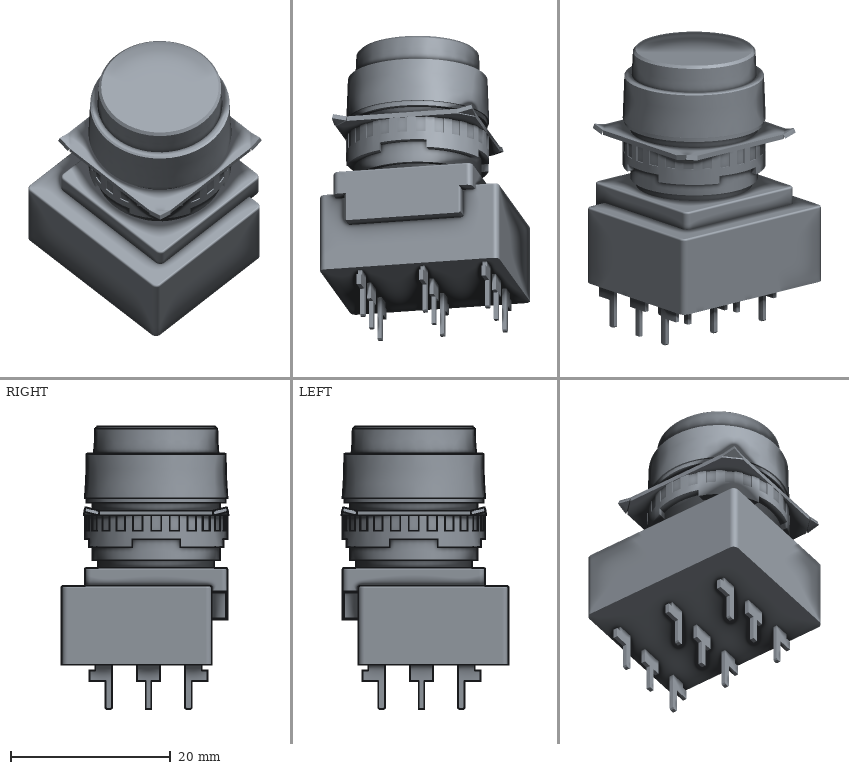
import cadquery as cq


PIN_STEM_TOP_Z = 3.5
PIN_LUG_TOP_Z = 4.85
BASE_BOTTOM_Z = 5.55
BASE_TOP_Z = 15.45
COLLAR_BOTTOM_Z = 14.75
COLLAR_TOP_Z = 17.7
LATCH_BOTTOM_Z = 11.2
NECK_TOP_Z = 18.62
NUT_BOTTOM_Z = 20.3
NUT_TOP_Z = 24.25
BEZEL_BOTTOM_Z = 25.85
BEZEL_RIM_Z = 26.4
BEZEL_TOP_Z = 32.05
BUTTON_TOP_Z = 35.4

BASE_LENGTH = 23.0
BASE_WIDTH = 18.85
BASE_CENTER_X = -0.4
BASE_CENTER_Y = -2.45
COLLAR_SIDE = 17.88
CORNER_RADIUS = 0.75
EDGE_ROUND = 0.25
LATCH_CHAMFER = 0.2
LATCH_LENGTH = 14.87
LATCH_DEPTH = 4.25

PIN_THICKNESS = 0.53
PIN_COLUMN_PITCH = 8.0
PIN_CENTER_X = -1.88
PIN_CENTER_Y = -0.95
MIDDLE_BLADE_WIDTH = 2.9
MIDDLE_STEM_WIDTH = 0.75
OUTER_STEM_START = 4.55
OUTER_STEM_WIDTH = 0.85
OUTER_BLADE_WIDTH = 2.12
OUTER_LUG_WIDTH = 2.83
PIN_TIP_CHAMFER = 0.18

FLANGE_RADIUS = 8.55
FLANGE_THICKNESS = 0.9
NECK_RADIUS = 7.3
BARREL_RADIUS = 8.0
BEZEL_RIM_RADIUS = 8.95
BEZEL_RADIUS = 8.75
BEZEL_CHAMFER_HEIGHT = 0.1
BEZEL_CHAMFER_WIDTH = 0.25
BUTTON_FOOT_RADIUS = 7.82
BUTTON_RADIUS = 7.68
BUTTON_CHAMFER = 0.32

NUT_RADIUS = 8.95
FLUTE_COUNT = 24
FLUTE_WIDTH = 1.25
FLUTE_DEPTH = 0.15
FLUTE_HEIGHT = 1.9
WRENCH_SLOT_WIDTH = 6.02
WRENCH_SLOT_HEIGHT = 1.0

WASHER_SIDE = COLLAR_SIDE
WASHER_THICKNESS = 0.6
WASHER_TOP_Z = NUT_TOP_Z + WASHER_THICKNESS
TAB_LEG = 1.85
TAB_ANGLE = 20.0
TAB_PIVOT_DEPTH = 0.07


def block(length, width, bottom_z, top_z):
    """Box centred on the Z axis between two levels."""
    return cq.Workplane("XY").workplane(offset=bottom_z).rect(length, width).extrude(top_z - bottom_z)


def disc(radius, bottom_z, top_z):
    """Round disc on the Z axis between two levels."""
    return cq.Workplane("XY").workplane(offset=bottom_z).circle(radius).extrude(top_z - bottom_z)


def rounded_block(length, width, bottom_z, top_z):
    """Block with rounded vertical corners and a rounded top edge."""
    body = block(length, width, bottom_z, top_z).edges("|Z").fillet(CORNER_RADIUS)
    return body.faces(">Z").edges().fillet(EDGE_ROUND)


def make_latch():
    """Chamfered block that hangs below the rear edge of the collar."""
    latch = block(LATCH_LENGTH, LATCH_DEPTH, LATCH_BOTTOM_Z, COLLAR_BOTTOM_Z)
    latch = latch.faces("<X or >X").edges().chamfer(LATCH_CHAMFER)
    return latch.translate((0, (COLLAR_SIDE - LATCH_DEPTH) / 2, 0))


def blade(outline, column_x):
    """Flat pin with a (Y, Z) outline, centred on a column."""
    plane = cq.Workplane("YZ").workplane(offset=column_x - PIN_THICKNESS / 2)
    return plane.polyline(outline).close().extrude(PIN_THICKNESS)


def middle_blade_outline():
    """Wide blade with a narrow stem below its middle."""
    half_blade = MIDDLE_BLADE_WIDTH / 2
    half_stem = MIDDLE_STEM_WIDTH / 2
    right_half = [
        (half_stem, 0),
        (half_stem, PIN_STEM_TOP_Z),
        (half_blade, PIN_STEM_TOP_Z),
        (half_blade, BASE_BOTTOM_Z),
    ]
    left_half = [(-y, z) for y, z in reversed(right_half)]
    return [(PIN_CENTER_Y + y, z) for y, z in right_half + left_half]


def outer_blade_outline(side):
    """Blade with a lug pointing away from the middle row; side is +1 or -1."""
    stem_end = OUTER_STEM_START + OUTER_STEM_WIDTH
    blade_end = OUTER_STEM_START + OUTER_BLADE_WIDTH
    lug_end = OUTER_STEM_START + OUTER_LUG_WIDTH
    points = [
        (OUTER_STEM_START, BASE_BOTTOM_Z),
        (OUTER_STEM_START, PIN_TIP_CHAMFER),
        (OUTER_STEM_START + PIN_TIP_CHAMFER, 0),
        (stem_end - PIN_TIP_CHAMFER, 0),
        (stem_end, PIN_TIP_CHAMFER),
        (stem_end, PIN_STEM_TOP_Z),
        (lug_end, PIN_STEM_TOP_Z),
        (lug_end, PIN_LUG_TOP_Z),
        (blade_end, PIN_LUG_TOP_Z),
        (blade_end, BASE_BOTTOM_Z),
    ]
    return [(PIN_CENTER_Y + side * y, z) for y, z in points]


def make_base():
    """Contact block, collar, latch and pins, recessed for the operator flange."""
    contact_block = rounded_block(BASE_LENGTH, BASE_WIDTH, BASE_BOTTOM_Z, BASE_TOP_Z)
    base = contact_block.translate((BASE_CENTER_X, BASE_CENTER_Y, 0))
    base = base.union(rounded_block(COLLAR_SIDE, COLLAR_SIDE, COLLAR_BOTTOM_Z, COLLAR_TOP_Z))
    base = base.union(make_latch())
    outlines = [outer_blade_outline(-1), middle_blade_outline(), outer_blade_outline(1)]
    for column in (-1, 0, 1):
        for outline in outlines:
            base = base.union(blade(outline, PIN_CENTER_X + column * PIN_COLUMN_PITCH))
    flange_recess = disc(FLANGE_RADIUS, COLLAR_TOP_Z - FLANGE_THICKNESS, COLLAR_TOP_Z)
    return base.cut(flange_recess)


def make_operator():
    """Button, bezel, barrel and flange as one turned body."""
    flange_bottom_z = COLLAR_TOP_Z - FLANGE_THICKNESS
    profile = [
        (0, flange_bottom_z),
        (FLANGE_RADIUS, flange_bottom_z),
        (FLANGE_RADIUS, COLLAR_TOP_Z),
        (NECK_RADIUS, COLLAR_TOP_Z),
        (NECK_RADIUS, NECK_TOP_Z),
        (BARREL_RADIUS, NECK_TOP_Z),
        (BARREL_RADIUS, BEZEL_BOTTOM_Z),
        (BEZEL_RADIUS, BEZEL_BOTTOM_Z),
        (BEZEL_RADIUS, BEZEL_RIM_Z),
        (BEZEL_RIM_RADIUS, BEZEL_RIM_Z),
        (BEZEL_RADIUS, BEZEL_TOP_Z - BEZEL_CHAMFER_HEIGHT),
        (BEZEL_RADIUS - BEZEL_CHAMFER_WIDTH, BEZEL_TOP_Z),
        (BUTTON_FOOT_RADIUS, BEZEL_TOP_Z),
        (BUTTON_RADIUS, BUTTON_TOP_Z - BUTTON_CHAMFER),
        (BUTTON_RADIUS - BUTTON_CHAMFER, BUTTON_TOP_Z),
        (0, BUTTON_TOP_Z),
    ]
    return cq.Workplane("XZ").polyline(profile).close().revolve(360, (0, 0, 0), (0, 1, 0))


def make_nut():
    """Ring nut with grip flutes round the top and four wrench slots in the bottom."""
    nut = disc(NUT_RADIUS, NUT_BOTTOM_Z, NUT_TOP_Z)
    flute = block(2 * FLUTE_DEPTH, FLUTE_WIDTH, NUT_TOP_Z - FLUTE_HEIGHT, NUT_TOP_Z)
    flute = flute.translate((NUT_RADIUS, 0, 0))
    for index in range(FLUTE_COUNT):
        nut = nut.cut(flute.rotate((0, 0, 0), (0, 0, 1), index * 360 / FLUTE_COUNT))
    slot_top_z = NUT_BOTTOM_Z + WRENCH_SLOT_HEIGHT
    slot_length = 2 * NUT_RADIUS
    nut = nut.cut(block(slot_length, WRENCH_SLOT_WIDTH, NUT_BOTTOM_Z, slot_top_z))
    nut = nut.cut(block(WRENCH_SLOT_WIDTH, slot_length, NUT_BOTTOM_Z, slot_top_z))
    return nut.cut(disc(BARREL_RADIUS, NUT_BOTTOM_Z, NUT_TOP_Z))


def make_washer():
    """Square plate whose corners are bent up along diagonal creases."""
    half_side = WASHER_SIDE / 2
    crease_start = half_side - TAB_LEG
    plate = block(WASHER_SIDE, WASHER_SIDE, NUT_TOP_Z, WASHER_TOP_Z)
    plate = plate.edges("|Z").chamfer(TAB_LEG)
    tab_outline = [(crease_start, half_side), (half_side, crease_start), (half_side, half_side)]
    tab = cq.Workplane("XY").workplane(offset=NUT_TOP_Z).polyline(tab_outline).close()
    tab = tab.extrude(WASHER_THICKNESS)
    pivot_z = WASHER_TOP_Z - TAB_PIVOT_DEPTH
    crease_ends = [(crease_start, half_side, pivot_z), (half_side, crease_start, pivot_z)]
    tab = tab.rotate(*crease_ends, TAB_ANGLE)
    for quarter in range(4):
        plate = plate.union(tab.rotate((0, 0, 0), (0, 0, 1), quarter * 90))
    return plate.cut(disc(BARREL_RADIUS, NUT_TOP_Z, WASHER_TOP_Z))


base = make_base()
operator = make_operator()
nut = make_nut()
washer = make_washer()

result = cq.Compound.makeCompound([body.solids().val() for body in (base, operator, nut, washer)])